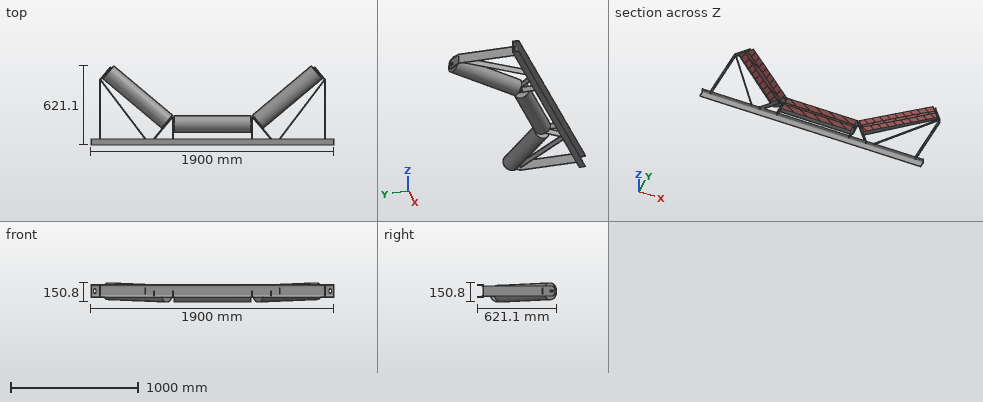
import cadquery as cq
import math

CHANNEL_LENGTH = 1900.0
CHANNEL_HEIGHT = 100.0
FLANGE_WIDTH = 50.0
WEB_THICKNESS = 6.0
FLANGE_THICKNESS = 8.5
FLANGE_SLOPE = 0.08
ROOT_RADIUS = 8.5
TOE_RADIUS = 4.5
MOUNTING_SLOT_X = 922.0
MOUNTING_SLOT_LENGTH = 35.0
MOUNTING_SLOT_WIDTH = 17.0

ROLLER_LENGTH = 600.0
ROLLER_RADIUS = 66.0
SHAFT_RADIUS = 11.0
SHAFT_FLATS = 15.0
TROUGH_ANGLE = 40.0
FORWARD_TILT = 1.8
MIDDLE_ROLLER_Y = 115.0
ROLLER_Z = -20.0
SIDE_ROLLER_INNER_X = 355.0
SIDE_ROLLER_INNER_Y = 135.0

BAR_THICKNESS = 8.0
BAR_HEIGHT = 80.0
SMALL_BAR_HEIGHT = 45.0
STRUT_THICKNESS = 5.0
INNER_POST_X = 310.0
INNER_POST_TOP = 171.0
INNER_GAP = 4.8
OUTER_GAP = 8.0
OUTER_POST_X = 882.0
ARM_REACH = 42.0
ARM_CHAMFER = 23.0
BEND_RADIUS = 10.0
STRUT_FOOT_X = 526.0
STRUT_TOP_X = 878.0
STRUT_TOP_Y = 464.0

angle = math.radians(TROUGH_ANGLE)
tilt = math.radians(FORWARD_TILT)
SIDES = (-1, 1)


def side_axis_plane(side):
    """Plane at a side roller's inner end: normal along its axis, local x towards the channel."""
    axis = (side * math.cos(angle) * math.cos(tilt), math.sin(angle) * math.cos(tilt), math.sin(tilt))
    across = (side * math.sin(angle), -math.cos(angle), 0)
    return cq.Plane((side * SIDE_ROLLER_INNER_X, SIDE_ROLLER_INNER_Y, ROLLER_Z), across, axis)


def middle_axis_plane():
    """Plane at the middle roller's -X end, normal along +X and local x along +Y."""
    return cq.Plane((-ROLLER_LENGTH / 2, MIDDLE_ROLLER_Y, ROLLER_Z), (0, 1, 0), (1, 0, 0))


def make_roller(plane):
    return cq.Workplane(plane).circle(ROLLER_RADIUS).circle(SHAFT_RADIUS).extrude(ROLLER_LENGTH)


def make_shaft(plane, start_reach, end_reach):
    """Shaft through a roller, flattened above and below where it leaves the roller ends."""
    length = start_reach + ROLLER_LENGTH + end_reach
    shaft = cq.Workplane(plane).workplane(offset=-start_reach).circle(SHAFT_RADIUS).extrude(length)
    block_centers = [(0, level * (SHAFT_FLATS / 2 + SHAFT_RADIUS)) for level in (-1, 1)]
    for offset, reach in ((-start_reach, start_reach), (ROLLER_LENGTH, end_reach)):
        blocks = (
            cq.Workplane(plane)
            .workplane(offset=offset)
            .pushPoints(block_centers)
            .rect(2 * SHAFT_RADIUS, 2 * SHAFT_RADIUS)
            .extrude(reach)
        )
        shaft = shaft.cut(blocks)
    return shaft


def make_channel():
    """Tapered-flange channel with a mounting slot near each end of the web."""
    half_height = CHANNEL_HEIGHT / 2
    half_taper = FLANGE_SLOPE * FLANGE_WIDTH / 2
    toe_z = half_height - FLANGE_THICKNESS + half_taper
    root_z = toe_z - FLANGE_SLOPE * (FLANGE_WIDTH - WEB_THICKNESS)
    outline = [
        (0, -half_height), (0, half_height), (-FLANGE_WIDTH, half_height), (-FLANGE_WIDTH, toe_z),
        (-WEB_THICKNESS, root_z), (-WEB_THICKNESS, -root_z),
        (-FLANGE_WIDTH, -toe_z), (-FLANGE_WIDTH, -half_height),
    ]
    channel = cq.Workplane("YZ").polyline(outline).close().extrude(CHANNEL_LENGTH / 2, both=True)
    roots = [(0, -WEB_THICKNESS, z) for z in (-root_z, root_z)]
    toes = [(0, -FLANGE_WIDTH, z) for z in (-toe_z, toe_z)]
    for corners, radius in ((roots, ROOT_RADIUS), (toes, TOE_RADIUS)):
        for corner in corners:
            channel = channel.edges(cq.selectors.NearestToPointSelector(corner)).fillet(radius)
    slots = (
        cq.Workplane("XZ")
        .pushPoints([(side * MOUNTING_SLOT_X, 0) for side in SIDES])
        .slot2D(MOUNTING_SLOT_LENGTH, MOUNTING_SLOT_WIDTH, 90)
        .extrude(2 * WEB_THICKNESS, both=True)
    )
    return channel.cut(slots)


def extrude_bar(outline, height, center_z=0.0):
    bottom = cq.Workplane("XY").workplane(offset=center_z - height / 2)
    return bottom.polyline(outline).close().extrude(height)


def slanted_bar(foot_x, top_x, top_y, thickness, center_z):
    """Straight bar rising from the channel, with both ends cut parallel to X."""
    half_width = thickness / 2 * math.hypot(top_x - foot_x, top_y) / top_y
    outline = [
        (foot_x - half_width, 0), (foot_x + half_width, 0),
        (top_x + half_width, top_y), (top_x - half_width, top_y),
    ]
    return extrude_bar(outline, SMALL_BAR_HEIGHT, center_z)


def make_inner_bracket(side):
    """Upright post joined at its top to a leg parallel to the side roller's inner end."""
    post = slanted_bar(side * INNER_POST_X, side * INNER_POST_X, INNER_POST_TOP, BAR_THICKNESS, ROLLER_Z)
    leg_offset = (INNER_GAP + BAR_THICKNESS / 2) / math.cos(angle)
    foot_x = SIDE_ROLLER_INNER_X - leg_offset + SIDE_ROLLER_INNER_Y * math.tan(angle)
    top_x = foot_x - INNER_POST_TOP * math.tan(angle)
    leg = slanted_bar(side * foot_x, side * top_x, INNER_POST_TOP, BAR_THICKNESS, ROLLER_Z)
    return post.union(leg)


def make_outer_bracket(side):
    """Upright post bent at its top into an arm parallel to the side roller's outer end."""
    def arm_point(beyond_end, across):
        along = ROLLER_LENGTH * math.cos(tilt) + beyond_end
        x = SIDE_ROLLER_INNER_X + along * math.cos(angle) - across * math.sin(angle)
        y = SIDE_ROLLER_INNER_Y + along * math.sin(angle) + across * math.cos(angle)
        return x, y

    def bend_y(beyond_end, post_face_x):
        x, y = arm_point(beyond_end, 0)
        return y - (post_face_x - x) / math.tan(angle)

    inside_x = OUTER_POST_X - BAR_THICKNESS / 2
    outside_x = OUTER_POST_X + BAR_THICKNESS / 2
    inside_y = bend_y(OUTER_GAP, inside_x)
    outside_y = bend_y(OUTER_GAP + BAR_THICKNESS, outside_x)
    inside_tip = arm_point(OUTER_GAP, ARM_REACH)
    outside_tip = arm_point(OUTER_GAP + BAR_THICKNESS, ARM_REACH)
    right_outline = [
        (outside_x, 0), (outside_x, outside_y), outside_tip, inside_tip, (inside_x, inside_y), (inside_x, 0),
    ]
    bracket = extrude_bar([(side * x, y) for x, y in right_outline], BAR_HEIGHT)
    for x, y, radius in (
        (inside_x, inside_y, BEND_RADIUS),
        (outside_x, outside_y, BEND_RADIUS + BAR_THICKNESS),
    ):
        bracket = bracket.edges(cq.selectors.NearestToPointSelector((side * x, y, 0))).fillet(radius)
    tip_x = (inside_tip[0] + outside_tip[0]) / 2
    tip_y = (inside_tip[1] + outside_tip[1]) / 2
    for z in (-BAR_HEIGHT / 2, BAR_HEIGHT / 2):
        corner = cq.selectors.NearestToPointSelector((side * tip_x, tip_y, z))
        bracket = bracket.edges(corner).chamfer(ARM_CHAMFER)
    strut = slanted_bar(side * STRUT_FOOT_X, side * STRUT_TOP_X, STRUT_TOP_Y, STRUT_THICKNESS, 0)
    return bracket.union(strut)


def make_arm_slot(side):
    """Open slot that lets the flattened shaft end drop into the arm from its tip."""
    return (
        cq.Workplane(side_axis_plane(side))
        .workplane(offset=ROLLER_LENGTH)
        .center(-ARM_REACH, 0)
        .rect(2 * ARM_REACH, SHAFT_FLATS)
        .extrude(OUTER_GAP + 2 * BAR_THICKNESS)
    )


middle_reach = INNER_POST_X + BAR_THICKNESS / 2 - ROLLER_LENGTH / 2
inner_reach = INNER_GAP + BAR_THICKNESS
outer_reach = OUTER_GAP + BAR_THICKNESS

rollers = [make_roller(middle_axis_plane())]
shafts = [make_shaft(middle_axis_plane(), middle_reach, middle_reach)]
for side in SIDES:
    rollers.append(make_roller(side_axis_plane(side)))
    shafts.append(make_shaft(side_axis_plane(side), inner_reach, outer_reach))

frame = make_channel()
for side in SIDES:
    frame = frame.union(make_inner_bracket(side)).union(make_outer_bracket(side))
    frame = frame.cut(make_arm_slot(side))
for shaft in shafts:
    frame = frame.cut(shaft)

result = cq.Compound.makeCompound(
    [frame.val()] + [roller.val() for roller in rollers] + [shaft.val() for shaft in shafts]
)